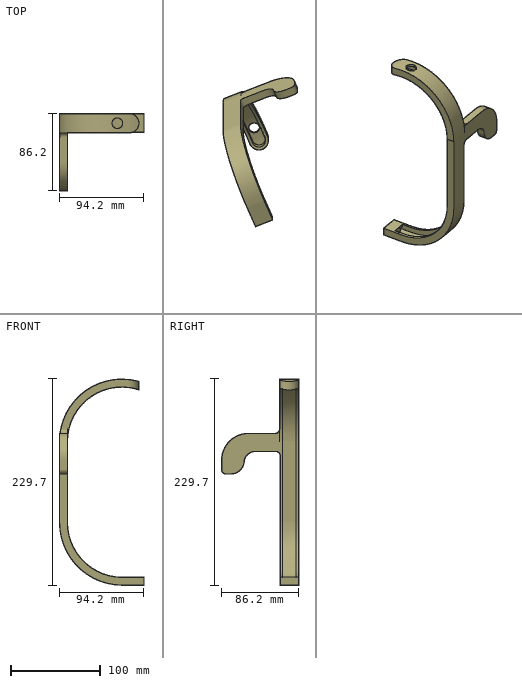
import math

import cadquery as cq

total_length = 94.2
total_width = 86.18
total_height = 229.67

band_thickness = 9.0
lower_width = 20.8
lower_bend_radius = 70.0

upper_thickness = 9.0
upper_width = 21.6
spring_height = 160.2
upper_bend_radius = total_height - spring_height
tip_centre_x = 77.7
tip_hole_x = 64.5
tip_hole_diameter = 11.8

upper_back_y = 0.0
back_setback = 0.08
mid_y = upper_back_y - upper_width / 2
upper_front_y = upper_back_y - upper_width
lower_back_y = upper_back_y - back_setback
lower_front_y = lower_back_y - lower_width

hook_top_z = 169.3
hook_height = 20.3
hook_outer_radius = 30.0
hook_inner_radius = 12.5
hook_drop = 45.4
hook_tip_width = 25.4
hook_heel_radius = 15.0
hook_nose_radius = 5.0
hook_root_fillet = 5.0

channel_width = 15.0
channel_depth = 6.4
channel_end_x = 80.9
notch_lip = 3.0
notch_width = 4.6
notch_reach = 4.7

half_bend = math.radians(45)
diagonal = math.sin(half_bend)


def arc_point(centre, radius, angle):
    """Point on the lower bend, with the angle measured back from straight down."""
    return (centre[0] - radius * math.sin(angle), centre[1] - radius * math.cos(angle))


def box(x_range, y_range, z_range):
    """Axis-aligned block between the given limits."""
    size = [high - low for low, high in (x_range, y_range, z_range)]
    return cq.Workplane("XY").box(*size, centered=False).translate((x_range[0], y_range[0], z_range[0]))


def make_lower_band():
    """Upright, bend and foot as one strip of constant thickness."""
    radius = lower_bend_radius
    inner_radius = radius - band_thickness
    centre = (radius, radius)
    return (
        cq.Workplane("XZ", origin=(0, lower_back_y, 0))
        .moveTo(0, spring_height)
        .lineTo(0, radius)
        .threePointArc(arc_point(centre, radius, half_bend), (radius, 0))
        .lineTo(total_length, 0)
        .lineTo(total_length, band_thickness)
        .lineTo(radius, band_thickness)
        .threePointArc(arc_point(centre, inner_radius, half_bend), (band_thickness, radius))
        .lineTo(band_thickness, spring_height)
        .close()
        .extrude(lower_width)
    )


def upper_disc(radius):
    """Cylinder about the axis of the upper bend, as wide as the whole part."""
    return (
        cq.Workplane("XZ", origin=(upper_bend_radius, upper_back_y, spring_height))
        .circle(radius)
        .extrude(total_width)
    )


def rounded_footprint(width):
    """Upright block over the upper bend, centred on the mid-plane, with a half-round end at the tip."""
    half_width = width / 2
    tip_round = (
        cq.Workplane("XY", origin=(tip_centre_x, mid_y, spring_height))
        .circle(half_width)
        .extrude(upper_bend_radius)
    )
    y_limits = (mid_y - half_width, mid_y + half_width)
    return box((0, tip_centre_x), y_limits, (spring_height, total_height)).union(tip_round)


def make_upper_band():
    """Curved strip above the spring line, with a rounded and drilled tip."""
    ring = upper_disc(upper_bend_radius).cut(upper_disc(upper_bend_radius - upper_thickness))
    hole = (
        cq.Workplane("XY", origin=(tip_hole_x, mid_y, spring_height))
        .circle(tip_hole_diameter / 2)
        .extrude(upper_bend_radius)
    )
    return ring.intersect(rounded_footprint(upper_width)).cut(hole)


def make_hook():
    """Hook plate drawn in the YZ plane and extruded through the band thickness."""
    nose_y = upper_back_y - total_width
    bottom_z = hook_top_z - hook_drop
    under_z = hook_top_z - hook_height
    throat_y = nose_y + hook_tip_width
    bend_start_y = nose_y + hook_outer_radius
    bend_end_z = hook_top_z - hook_outer_radius
    heel_top_z = bottom_z + hook_heel_radius
    heel_y = throat_y - hook_heel_radius

    throat_drop = under_z - heel_top_z
    throat_centre_z = under_z - hook_inner_radius
    throat_run = math.sqrt(hook_inner_radius**2 - (hook_inner_radius - throat_drop) ** 2)
    throat_start_y = throat_y + throat_run
    half_angle = math.atan2(throat_run, hook_inner_radius - throat_drop) / 2
    throat_mid = (
        throat_start_y - hook_inner_radius * math.sin(half_angle),
        throat_centre_z + hook_inner_radius * math.cos(half_angle),
    )
    outer_mid = (
        bend_start_y - hook_outer_radius * diagonal,
        bend_end_z + hook_outer_radius * diagonal,
    )
    heel_mid = (heel_y + hook_heel_radius * diagonal, heel_top_z - hook_heel_radius * diagonal)
    nose_mid = (
        nose_y + hook_nose_radius * (1 - diagonal),
        bottom_z + hook_nose_radius * (1 - diagonal),
    )
    return (
        cq.Workplane("YZ")
        .moveTo(mid_y, hook_top_z)
        .lineTo(bend_start_y, hook_top_z)
        .threePointArc(outer_mid, (nose_y, bend_end_z))
        .lineTo(nose_y, bottom_z + hook_nose_radius)
        .threePointArc(nose_mid, (nose_y + hook_nose_radius, bottom_z))
        .lineTo(heel_y, bottom_z)
        .threePointArc(heel_mid, (throat_y, heel_top_z))
        .threePointArc(throat_mid, (throat_start_y, under_z))
        .lineTo(mid_y, under_z)
        .close()
        .extrude(band_thickness)
        .cut(box((0, band_thickness), (upper_front_y, upper_back_y), (spring_height, hook_top_z)))
    )


def make_root_fillet(band_y, hook_z, direction):
    """Concave fillet between the band side and the hook; direction is +1 above it, -1 below."""
    radius = hook_root_fillet
    z_limits = sorted((hook_z, hook_z + direction * radius))
    gusset = box((0, band_thickness), (band_y - radius, band_y), z_limits)
    round_cut = (
        cq.Workplane("YZ", origin=(0, band_y - radius, hook_z + direction * radius))
        .circle(radius)
        .extrude(band_thickness)
    )
    return gusset.cut(round_cut)


def make_lower_channel():
    """Recess along the upright, lower bend and foot, with two undercut notches at its end."""
    centre = (lower_bend_radius, lower_bend_radius)
    top_radius = lower_bend_radius - band_thickness
    floor_radius = top_radius + channel_depth
    floor_offset = band_thickness - channel_depth
    channel = (
        cq.Workplane("XZ", origin=(0, mid_y + channel_width / 2, 0))
        .moveTo(band_thickness, spring_height)
        .lineTo(floor_offset, spring_height)
        .lineTo(floor_offset, lower_bend_radius)
        .threePointArc(arc_point(centre, floor_radius, half_bend), (lower_bend_radius, floor_offset))
        .lineTo(channel_end_x, floor_offset)
        .lineTo(channel_end_x, band_thickness)
        .lineTo(lower_bend_radius, band_thickness)
        .threePointArc(arc_point(centre, top_radius, half_bend), (band_thickness, lower_bend_radius))
        .close()
        .extrude(channel_width)
    )
    notch_x = (channel_end_x, channel_end_x + notch_reach)
    notch_z = (floor_offset, band_thickness - notch_lip)
    for side in (1, -1):
        wall_y = mid_y + side * channel_width / 2
        notch_y = sorted((wall_y, wall_y - side * notch_width))
        channel = channel.union(box(notch_x, notch_y, notch_z))
    return channel


def make_upper_channel():
    """Recess inside the upper bend, ending in a half round concentric with the tip."""
    inner_radius = upper_bend_radius - upper_thickness
    ring = upper_disc(inner_radius + channel_depth).cut(upper_disc(inner_radius))
    return ring.intersect(rounded_footprint(channel_width))


upper_fillet = make_root_fillet(upper_front_y, hook_top_z, 1).intersect(upper_disc(upper_bend_radius))
lower_fillet = make_root_fillet(lower_front_y, hook_top_z - hook_height, -1)

result = (
    make_lower_band()
    .union(make_upper_band())
    .union(make_hook())
    .union(upper_fillet)
    .union(lower_fillet)
    .cut(make_lower_channel())
    .cut(make_upper_channel())
)